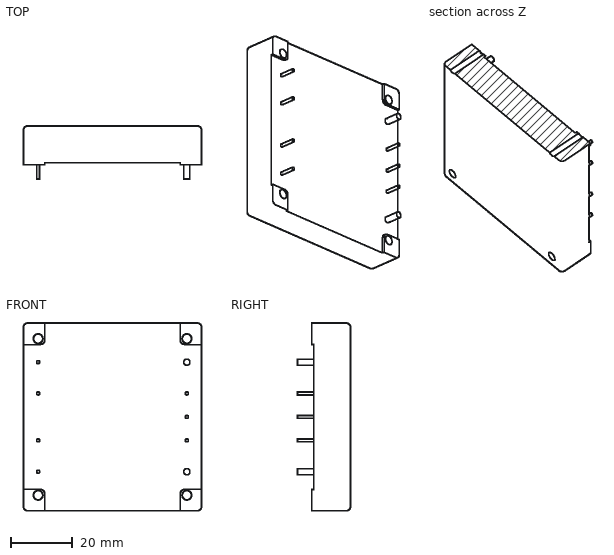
import cadquery as cq

case_width = 57.9
case_height = 61.0
case_depth = 12.7
edge_radius = 1.5

recess_depth = 0.7
pad_size = 7.0
pad_corner_radius = edge_radius

column_spacing = 48.26
column_x = column_spacing / 2
hole_spacing_z = 50.8
hole_z = hole_spacing_z / 2
hole_diameter = 3.0

overall_depth = 17.3
pin_tip_y = case_depth - overall_depth
signal_pin_diameter = 1.02
power_pin_diameter = 2.03
outer_pin_z = 17.78
inner_pin_z = 7.62
left_signal_z = [-outer_pin_z, -inner_pin_z, inner_pin_z, outer_pin_z]
right_signal_z = [-inner_pin_z, 0, inner_pin_z]
right_power_z = [-outer_pin_z, outer_pin_z]

corner_signs = [(sx, sz) for sx in (-1, 1) for sz in (-1, 1)]


def box_in_y(width, height, y_start, y_end):
    """Box centred in X and Z, from y_start to y_end."""
    depth = y_end - y_start
    middle_y = (y_start + y_end) / 2
    return cq.Workplane("XY").box(width, depth, height).translate((0, middle_y, 0))


def rod_in_y(x, z, diameter, y_start, y_end):
    """Round bar parallel to Y at (x, z)."""
    rod = cq.Solid.makeCylinder(
        diameter / 2, y_end - y_start, cq.Vector(x, y_start, z), cq.Vector(0, 1, 0)
    )
    return cq.Workplane(rod)


def make_case():
    """Block rounded on its four Y edges and around its back face."""
    case = box_in_y(case_width, case_height, 0, case_depth)
    return case.edges("|Y").fillet(edge_radius).faces(">Y").edges().fillet(edge_radius)


def make_recess():
    """Cross-shaped layer removed from the pin side, leaving the corner pads."""
    recess = box_in_y(case_width, case_height, 0, recess_depth)
    for sx, sz in corner_signs:
        pad = box_in_y(2 * pad_size, 2 * pad_size, 0, recess_depth)
        pad = pad.edges("|Y").fillet(pad_corner_radius)
        recess = recess.cut(pad.translate((sx * case_width / 2, 0, sz * case_height / 2)))
    return recess


def drill_mounting_holes(body):
    """Four holes through the pads and the whole case."""
    for sx, sz in corner_signs:
        body = body.cut(rod_in_y(sx * column_x, sz * hole_z, hole_diameter, 0, case_depth))
    return body


def add_pins(body, x, z_places, diameter):
    """Column of pins standing out of the recessed face."""
    for z in z_places:
        body = body.union(rod_in_y(x, z, diameter, pin_tip_y, recess_depth))
    return body


result = make_case().cut(make_recess())
result = drill_mounting_holes(result)
result = add_pins(result, -column_x, left_signal_z, signal_pin_diameter)
result = add_pins(result, column_x, right_signal_z, signal_pin_diameter)
result = add_pins(result, column_x, right_power_z, power_pin_diameter)